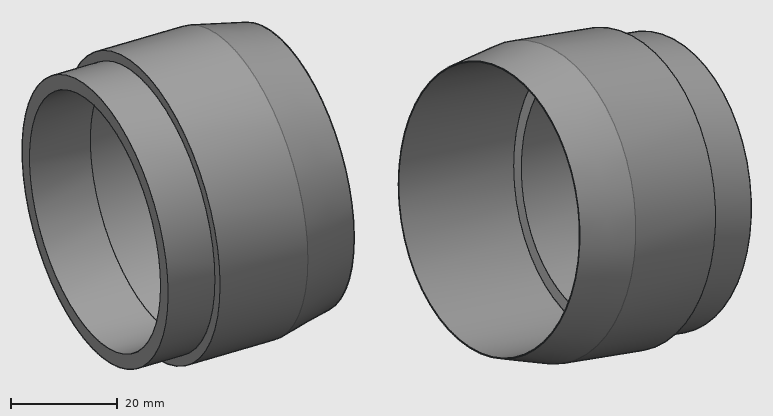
import cadquery as cq

outer_diameter = 61.2
spigot_diameter = 57.2
taper_end_diameter = 56.35
bore_diameter = 51.25
socket_diameter = 55.95

total_length = 40.0
spigot_length = 10.0
taper_length = 11.25
bore_length = 13.0

outer_radius = outer_diameter / 2
spigot_radius = spigot_diameter / 2
taper_end_radius = taper_end_diameter / 2
bore_radius = bore_diameter / 2
socket_radius = socket_diameter / 2
taper_start = total_length - taper_length

wall_section = [
    (bore_radius, 0),
    (spigot_radius, 0),
    (spigot_radius, spigot_length),
    (outer_radius, spigot_length),
    (outer_radius, taper_start),
    (taper_end_radius, total_length),
    (socket_radius, total_length),
    (socket_radius, bore_length),
    (bore_radius, bore_length),
]

result = (
    cq.Workplane("XY")
    .polyline(wall_section)
    .close()
    .revolve(360, (0, 0, 0), (0, 1, 0))
)